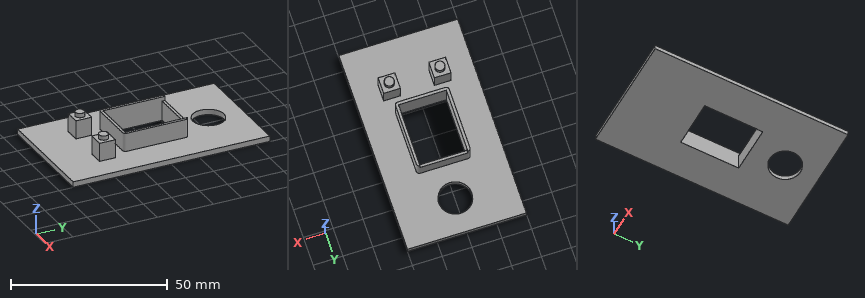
import cadquery as cq

plate_width = 40.0
plate_length = 70.0
plate_thickness = 2.0
total_height = 10.0

round_hole_diameter = 11.0
round_hole_y = 23.0

window_width = 16.0
window_length = 21.0
wall_thickness = 1.0
frame_height = 6.5
frame_corner_radius = 1.0
back_wall_drop = 1.5

button_size = 5.6
button_spacing = 17.0
button_y = -18.5
button_cap_diameter = 3.25

frame_width = window_width + 2 * wall_thickness
frame_length = window_length + 2 * wall_thickness
frame_top = plate_thickness + frame_height
button_cap_height = total_height - frame_top


def make_plate():
    """Flat rectangular plate with the round hole through it."""
    plate = cq.Workplane("XY").box(plate_width, plate_length, plate_thickness, centered=(True, True, False))
    hole = cq.Workplane("XY").center(0, round_hole_y).circle(round_hole_diameter / 2).extrude(plate_thickness)
    return plate.cut(hole)


def make_frame():
    """Round-cornered block standing on the plate, with its +Y wall lower than the others."""
    frame = (
        cq.Workplane("XY")
        .workplane(offset=plate_thickness)
        .rect(frame_width, frame_length)
        .extrude(frame_height)
        .edges("|Z")
        .fillet(frame_corner_radius)
    )
    back_wall_y = (window_length + wall_thickness) / 2
    notch = (
        cq.Workplane("XY")
        .workplane(offset=frame_top - back_wall_drop)
        .center(0, back_wall_y)
        .rect(window_width, wall_thickness)
        .extrude(back_wall_drop)
    )
    return frame.cut(notch)


def make_window():
    """Cutter for the rectangular opening through the frame and plate."""
    return cq.Workplane("XY").rect(window_width, window_length).extrude(frame_top)


def make_button(x):
    """Square post as tall as the frame, topped by a round cap."""
    post = (
        cq.Workplane("XY")
        .workplane(offset=plate_thickness)
        .center(x, button_y)
        .rect(button_size, button_size)
        .extrude(frame_height)
    )
    cap = (
        cq.Workplane("XY")
        .workplane(offset=frame_top)
        .center(x, button_y)
        .circle(button_cap_diameter / 2)
        .extrude(button_cap_height)
    )
    return post.union(cap)


result = make_plate().union(make_frame()).cut(make_window())
for side in (-1, 1):
    result = result.union(make_button(side * button_spacing / 2))